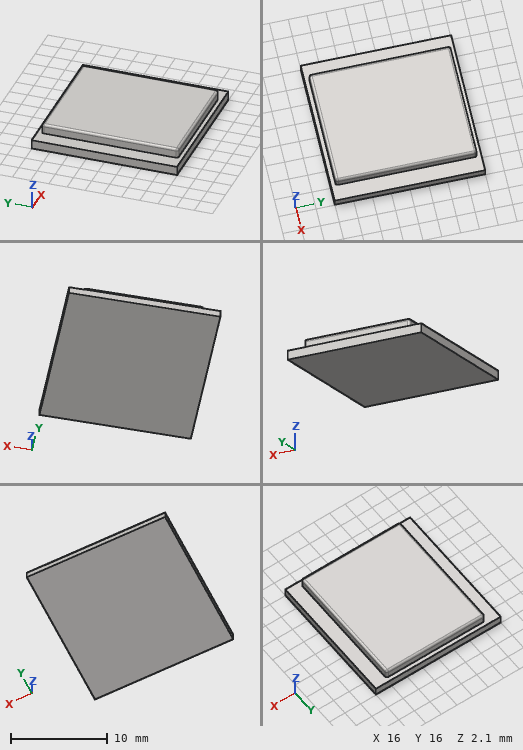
import cadquery as cq

board_side = 16.0
board_thickness = 1.0

total_height = 2.1
lid_width = 12.6
lid_length = 15.0
lid_edge_radius = 0.25
lid_height = total_height - board_thickness


def make_board():
    """Flat square plate with its underside at Z = 0."""
    return cq.Workplane("XY").box(board_side, board_side, board_thickness, centered=(True, True, False))


def make_lid():
    """Block on the board, rounded on its upright corners and top rim."""
    block = (
        cq.Workplane("XY")
        .workplane(offset=board_thickness)
        .box(lid_width, lid_length, lid_height, centered=(True, True, False))
    )
    return block.edges("|Z or >Z").fillet(lid_edge_radius)


result = make_board().union(make_lid())